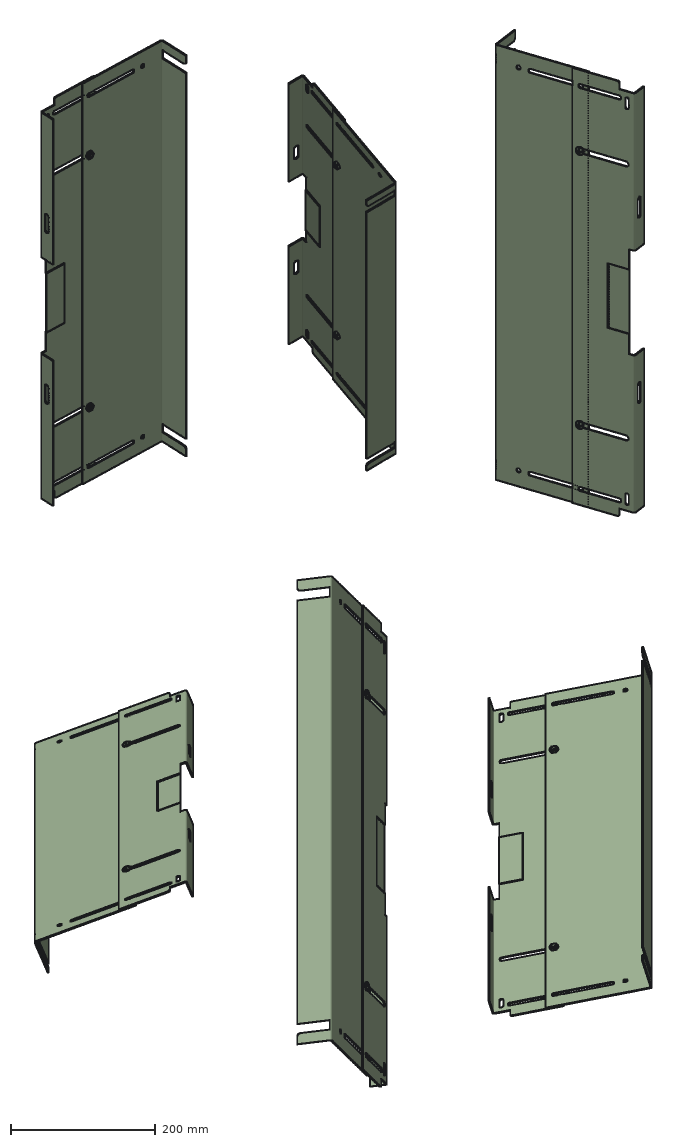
import cadquery as cq
import math


height = 685.8
half_height = height / 2
depth = 228.73
sheet = 1.897
bend_outer = 2.8
bend_inner = bend_outer - sheet
corner_radius = 3.175
tab_corner_radius = 5.0

front_width = 101.6
front_flange = 25.4
front_end_step_y = 25.4
front_end_step_z = 12.4
front_notch_height = 165.1
front_notch_depth = 9.525
flange_slot_z = 146.05
flange_slot_from_plate = 12.7
flange_slot_length = 32.5
end_slot_near_y = 25.4
upright_slot_y = 12.7
upright_slot_length = 18.5
upright_slot_width = 5.8
upright_slot_from_end = 31.0

tab_height = 101.6
tab_start_y = 44.45
tab_ramp = 1.6
tab_offset = sheet / 2

back_width = 152.2
back_flange = 50.8
end_tab_height = 15.875
main_flange_from_end = 29.9
back_slot_length = 88.9
pilot_from_flange = 38.1

narrow_slot = 6.35
wide_slot = 7.9375
hole_from_end = 25.4
slot_row_z = half_height - hole_from_end
screw_diameter = 6.35
screw_y = front_width - 12.7
screw_z = half_height - 127.0
screw_slot_end_y = 10.2
head_diameter = 12.5
head_height = 4.133
head_rim = 1.6
recess_width = 1.6
recess_length = 7.5
recess_depth = 2.4
crown_radius = 1.5
screw_end_x = 6.67
nut_across_flats = 11.1125
nut_thickness = 3.175

CUT = 10.0


def box(x0, x1, y0, y1, z0, z1):
    """Box between two opposite corners."""
    return cq.Workplane("XY").box(x1 - x0, y1 - y0, z1 - z0, centered=False).translate((x0, y0, z0))


def angle_sheet(plate_width, flange_length):
    """L-section sheet, outer corner at the origin, plate along +Y and flange along +X."""
    outer = cq.Workplane("XY").rect(flange_length, plate_width, centered=False).extrude(height)
    inner = box(sheet, flange_length, sheet, plate_width, 0, height)
    outer = outer.edges("|Z and <X and <Y").fillet(bend_outer)
    inner = inner.edges("|Z and <X and <Y").fillet(bend_inner)
    return outer.cut(inner).translate((0, 0, -half_height))


def plate_slot(y0, y1, width, z):
    """Cutter for a round-ended slot along Y, with overall ends y0 and y1."""
    slot = cq.Workplane("YZ").center((y0 + y1) / 2, z).slot2D(y1 - y0, width)
    return slot.extrude(CUT, both=True)


def upright_slot(y, z, length, width):
    """Cutter for a round-ended slot along Z through the plate."""
    return cq.Workplane("YZ").center(y, z).slot2D(length, width, 90).extrude(CUT, both=True)


def joggled_tab():
    """Tab pressed back by part of the sheet thickness, with a sloped ramp."""
    ramp_end = tab_start_y - tab_ramp
    outline = [
        (-sheet, tab_start_y),
        (-sheet + tab_offset, ramp_end),
        (-sheet + tab_offset, front_notch_depth),
        (tab_offset, front_notch_depth),
        (tab_offset, ramp_end),
        (0, tab_start_y),
    ]
    tab = cq.Workplane("XY").polyline(outline).close().extrude(tab_height)
    return tab.translate((0, 0, -tab_height / 2))


def make_front_panel():
    panel = angle_sheet(front_width, front_flange).translate((-sheet, 0, 0))
    flange_tip_x = front_flange - sheet

    for side in (-1, 1):
        z_outer = side * half_height
        z0, z1 = sorted((side * (half_height - front_end_step_z), z_outer))
        panel = panel.cut(box(-sheet, flange_tip_x, 0, front_end_step_y, z0, z1))
        corner = cq.selectors.NearestToPointSelector((-sheet / 2, front_end_step_y, z_outer))
        panel = panel.edges(corner).fillet(corner_radius)

    half_notch = front_notch_height / 2
    panel = panel.cut(box(-sheet, flange_tip_x, 0, front_notch_depth, -half_notch, half_notch))
    half_tab = tab_height / 2
    panel = panel.cut(box(-sheet, 0, front_notch_depth, tab_start_y, -half_tab, half_tab))
    panel = panel.union(joggled_tab())

    radius = narrow_slot / 2
    for side in (-1, 1):
        panel = panel.cut(plate_slot(end_slot_near_y - radius, screw_y + radius,
                                     narrow_slot, side * slot_row_z))
        panel = panel.cut(plate_slot(screw_slot_end_y, screw_y + wide_slot / 2,
                                     wide_slot, side * screw_z))
        panel = panel.cut(upright_slot(upright_slot_y, side * (half_height - upright_slot_from_end),
                                       upright_slot_length, upright_slot_width))
        flange_slot = cq.Workplane("XZ").center(flange_slot_from_plate - sheet, side * flange_slot_z)
        flange_slot = flange_slot.slot2D(flange_slot_length, wide_slot, 90).extrude(2 * sheet, both=True)
        panel = panel.cut(flange_slot)
    return panel


def make_back_panel():
    panel = angle_sheet(back_width, back_flange).mirror("XZ").translate((0, depth, 0))

    for side in (-1, 1):
        tab_edge_z = side * (half_height - end_tab_height)
        z0, z1 = sorted((side * (half_height - main_flange_from_end), tab_edge_z))
        panel = panel.cut(box(bend_outer, back_flange, depth - sheet, depth, z0, z1))
        corner = cq.selectors.NearestToPointSelector((back_flange, depth - sheet / 2, tab_edge_z))
        panel = panel.edges(corner).fillet(tab_corner_radius)

    slot_start = screw_y - narrow_slot / 2
    for side in (-1, 1):
        panel = panel.cut(plate_slot(slot_start, slot_start + back_slot_length, narrow_slot, side * slot_row_z))
        pilot = cq.Workplane("YZ").center(depth - pilot_from_flange, side * slot_row_z)
        panel = panel.cut(pilot.circle(narrow_slot / 2).extrude(CUT, both=True))
        screw_hole = cq.Workplane("YZ").center(screw_y, side * screw_z)
        panel = panel.cut(screw_hole.circle(screw_diameter / 2).extrude(CUT, both=True))
    return panel


def make_screw(z):
    """Pan head screw with a cross recess, head on the front panel."""
    head_radius = head_diameter / 2
    shank_radius = screw_diameter / 2
    crown_x = -sheet - head_height
    rim_x = -sheet - head_rim
    dome = head_height - head_rim
    dome_center_depth = (head_radius**2 - crown_radius**2 - dome**2) / (2 * dome)
    dome_radius = math.hypot(dome_center_depth, head_radius)
    profile = (
        cq.Workplane("XY")
        .moveTo(crown_x, 0)
        .lineTo(crown_x, crown_radius)
        .radiusArc((rim_x, head_radius), dome_radius)
        .lineTo(-sheet, head_radius)
        .lineTo(-sheet, shank_radius)
        .lineTo(screw_end_x, shank_radius)
        .lineTo(screw_end_x, 0)
        .close()
    )
    screw = profile.revolve(360, (0, 0, 0), (1, 0, 0))
    half_length = recess_length / 2
    half_width = recess_width / 2
    floor_x = crown_x + recess_depth
    screw = screw.cut(box(crown_x, floor_x, -half_length, half_length, -half_width, half_width))
    screw = screw.cut(box(crown_x, floor_x, -half_width, half_width, -half_length, half_length))
    return screw.translate((0, screw_y, z))


def make_nut(z):
    """Hexagonal jam nut seated on the back panel."""
    across_corners = nut_across_flats / math.cos(math.pi / 6)
    nut = cq.Workplane("YZ").polygon(6, across_corners).circle(screw_diameter / 2).extrude(nut_thickness)
    return nut.translate((sheet, screw_y, z))


front_panel = make_front_panel()
back_panel = make_back_panel()
screws = [make_screw(side * screw_z) for side in (-1, 1)]
nuts = [make_nut(side * screw_z) for side in (-1, 1)]

result = cq.Compound.makeCompound([
    front_panel.val(),
    back_panel.val(),
    *[screw.val() for screw in screws],
    *[nut.val() for nut in nuts],
])